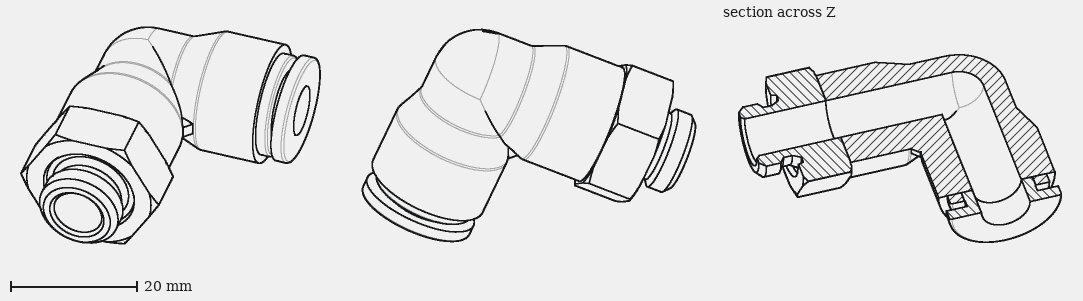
import cadquery as cq
import math


BORE_DIA = 8.0

TUBE_DIA = 15.4
SOCKET_DIA = 19.3
CONE_START = 6.0
CONE_END = 11.02
LEG_LENGTH = 20.85
LEG_ROUND = 1.0
WEB_THICKNESS = 2.0
WEB_SETBACK = 0.2

OVERALL_Y = 44.45
HEX_ACROSS_FLATS = 20.0
HEX_HEIGHT = 8.05
HEX_FACE_DIA = 20.8
HEX_CHAMFER_DEPTH = 0.5
RECESS_MOUTH_DIA = 15.2
RECESS_FLOOR_DIA = 14.65
RECESS_DEPTH = 0.9
ROOT_DIA = 12.7
ROOT_LENGTH = 1.25
UNDERCUT_DIA = 11.2
THREAD_DIA = 13.15
THREAD_LENGTH = 3.4
THREAD_INNER_CHAMFER = 0.7
TIP_CHAMFER = 1.0
MOUTH_CHAMFER = 0.55

COLLAR_DIA = 16.5
COLLAR_LENGTH = 1.82
COLLAR_EDGE = 0.3

SLEEVE_DIA = 11.7
SLEEVE_END_X = 25.8
FLANGE_THICKNESS = 2.0
FLANGE_LENGTH_Y = 18.6
FLANGE_WIDTH_Z = 16.05
FLANGE_EDGE = 0.35

HEX_FACE_Y = -(LEG_LENGTH + HEX_HEIGHT)
TIP_Y = SOCKET_DIA / 2 - OVERALL_Y


def cylinder_x(diameter, start, length):
    """Solid cylinder on the X axis."""
    return cq.Workplane("YZ", origin=(start, 0, 0)).circle(diameter / 2).extrude(length)


def revolve_about_y(profile):
    """Solid of revolution on the Y axis from (radius, y) points."""
    return cq.Workplane("XY").polyline(profile).close().revolve(360, (0, 0, 0), (0, 1, 0))


def elbow_leg():
    """Solid of revolution on the X axis: tube, cone and socket, with softened cone ends."""
    tube_r = TUBE_DIA / 2
    socket_r = SOCKET_DIA / 2
    leg = (
        cq.Workplane("XY")
        .polyline([
            (0, 0),
            (0, -tube_r),
            (CONE_START, -tube_r),
            (CONE_END, -socket_r),
            (LEG_LENGTH, -socket_r),
            (LEG_LENGTH, 0),
        ])
        .close()
        .revolve(360, (0, 0, 0), (1, 0, 0))
    )
    cone_ends = cq.selectors.BoxSelector(
        (CONE_START / 2, -SOCKET_DIA, -SOCKET_DIA),
        ((CONE_END + LEG_LENGTH) / 2, SOCKET_DIA, SOCKET_DIA),
        boundingbox=True,
    )
    return leg.edges(cone_ends).edges("%CIRCLE").fillet(LEG_ROUND)


def elbow(leg, ball_dia):
    """Joins a leg along +X and its copy along -Y with a ball at the corner."""
    turned_leg = leg.rotate((0, 0, 0), (1, 0, 0), 180).rotate((0, 0, 0), (0, 0, 1), -90)
    return leg.union(turned_leg).union(cq.Workplane("XY").sphere(ball_dia / 2))


def corner_web():
    """Flat web in the inner corner, between the wide ends of the two cones."""
    near = TUBE_DIA / 2
    far = CONE_END - WEB_SETBACK
    socket_r = SOCKET_DIA / 2
    return (
        cq.Workplane("XY")
        .polyline([(near, -near), (far, -socket_r), (socket_r, -far)])
        .close()
        .extrude(WEB_THICKNESS / 2, both=True)
    )


def make_housing():
    """Elbow with its corner web, hollowed by the flow passage."""
    outside = elbow(elbow_leg(), TUBE_DIA).union(corner_web())
    passage = elbow(cylinder_x(BORE_DIA, 0, LEG_LENGTH), BORE_DIA)
    return outside.cut(passage)


def make_hexagon():
    """Hexagon on the Y axis with its corners bevelled at both faces."""
    across_corners = HEX_ACROSS_FLATS / math.cos(math.radians(30))
    hexagon = (
        cq.Workplane("XZ", origin=(0, -LEG_LENGTH, 0))
        .polygon(6, across_corners)
        .extrude(HEX_HEIGHT)
    )
    face_r = HEX_FACE_DIA / 2
    corner_r = across_corners / 2
    bevel_envelope = revolve_about_y([
        (0, -LEG_LENGTH),
        (face_r, -LEG_LENGTH),
        (corner_r, -LEG_LENGTH - HEX_CHAMFER_DEPTH),
        (corner_r, HEX_FACE_Y + HEX_CHAMFER_DEPTH),
        (face_r, HEX_FACE_Y),
        (0, HEX_FACE_Y),
    ])
    return hexagon.intersect(bevel_envelope)


def make_adapter():
    """Hexagon with a recessed face and a threaded spigot that tapers from a wide root."""
    recess_floor_y = HEX_FACE_Y + RECESS_DEPTH
    undercut_r = UNDERCUT_DIA / 2
    thread_r = THREAD_DIA / 2
    thread_start_y = TIP_Y + THREAD_LENGTH
    bore_r = BORE_DIA / 2

    recess = revolve_about_y([
        (0, recess_floor_y),
        (RECESS_FLOOR_DIA / 2, recess_floor_y),
        (RECESS_MOUTH_DIA / 2, HEX_FACE_Y),
        (0, HEX_FACE_Y),
    ])
    spigot = revolve_about_y([
        (0, recess_floor_y),
        (ROOT_DIA / 2, recess_floor_y),
        (undercut_r, recess_floor_y - ROOT_LENGTH),
        (undercut_r, thread_start_y + THREAD_INNER_CHAMFER),
        (thread_r, thread_start_y),
        (thread_r, TIP_Y + TIP_CHAMFER),
        (thread_r - TIP_CHAMFER, TIP_Y),
        (0, TIP_Y),
    ])
    passage = revolve_about_y([
        (0, -LEG_LENGTH),
        (bore_r, -LEG_LENGTH),
        (bore_r, TIP_Y + MOUTH_CHAMFER),
        (bore_r + MOUTH_CHAMFER, TIP_Y),
        (0, TIP_Y),
    ])
    return make_hexagon().cut(recess).union(spigot).cut(passage)


def make_collar():
    """Ring on the socket face, with a rounded outer edge and a hole for the sleeve."""
    ring = cylinder_x(COLLAR_DIA, LEG_LENGTH, COLLAR_LENGTH).faces(">X").edges().fillet(COLLAR_EDGE)
    return ring.cut(cylinder_x(SLEEVE_DIA, LEG_LENGTH, COLLAR_LENGTH))


def make_sleeve():
    """Neck that passes through the collar and carries the oval flange at its end."""
    length = SLEEVE_END_X - LEG_LENGTH
    flange = (
        cq.Workplane("YZ", origin=(SLEEVE_END_X - FLANGE_THICKNESS, 0, 0))
        .ellipse(FLANGE_LENGTH_Y / 2, FLANGE_WIDTH_Z / 2)
        .extrude(FLANGE_THICKNESS)
        .faces(">X")
        .edges()
        .fillet(FLANGE_EDGE)
    )
    neck = cylinder_x(SLEEVE_DIA, LEG_LENGTH, length)
    return neck.union(flange).cut(cylinder_x(BORE_DIA, LEG_LENGTH, length))


housing = make_housing()
adapter = make_adapter()
collar = make_collar()
sleeve = make_sleeve()

result = cq.Compound.makeCompound([housing.val(), adapter.val(), collar.val(), sleeve.val()])